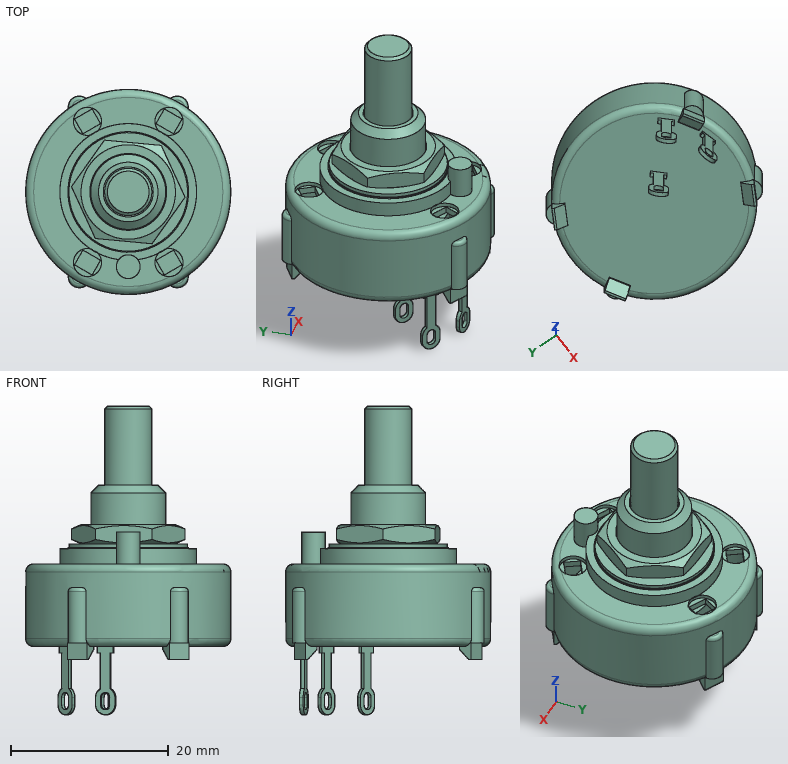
import cadquery as cq
import math

total_height = 39.1
terminal_length = 8.65
shaft_top = total_height - terminal_length

housing_d = 26.0
housing_h = 10.5
housing_round = 1.0

cavity_outer_d = 23.45
cavity_floor = 1.95
cavity_ceiling = 9.15
core_d = 15.65
core_top = 6.65
hub_d = 10.33

collar_d = 17.33
collar_top = 12.4
washer_d = 15.0
washer_seat_d = 15.3
washer_seat_h = 0.15
washer_top = 13.02
nut_across_flats = 12.5
nut_top = 15.45
nut_bevel_d = 11.95
nut_bevel_drop = 0.55
nut_bore_d = 9.75
nut_turn = -5.3

bushing_d = 9.5
bushing_top = 20.45
bushing_chamfer = 0.98
bushing_bore_d = 6.35
bushing_bore_depth = 1.0
shaft_d = 6.0
shaft_chamfer = 0.35

pin_d = 3.0
pin_y = -9.45
pin_top = 14.5

station_angles = (60, 120, 240, 300)
pocket_circle_r = 10.33
pocket_d = 3.55
pocket_depth = 0.5
window_radial = 2.15
window_width = 2.6
rib_circle_r = 12.4
rib_r = 1.4
rib_bottom = 0.45
rib_top = 7.47
rib_round = 0.5
hook_outer_r = 12.9
hook_width = 2.9
hook_bottom = -1.65
hook_tip_thickness = 0.3
hook_root_thickness = 1.7
hook_slope_top = -0.35

terminal_thickness = 0.5
stem_width = 1.3
shoulder_width = 2.1
shoulder_bottom = -0.82
eye_width = 2.55
eye_height = 3.5
eye_slot_width = 1.2
terminal_embed = 0.8
outer_terminal_r = 11.05
common_terminal_r = 3.95
outer_terminal_angles = (225, 255)
common_terminal_angle = 225


def disc(diameter, bottom, top):
    """Cylinder on the Z axis between two heights."""
    return cq.Workplane("XY").workplane(offset=bottom).circle(diameter / 2).extrude(top - bottom)


def at_polar(shape, radius, angle):
    """Move a shape out along +X, then swing it round the Z axis."""
    return shape.translate((radius, 0, 0)).rotate((0, 0, 0), (0, 0, 1), angle)


def make_housing():
    """Housing with collar, washer seat and locating pin."""
    housing = disc(housing_d, 0, housing_h).edges().fillet(housing_round)
    collar = disc(collar_d, housing_h - housing_round, collar_top)
    seat = disc(washer_seat_d, collar_top, collar_top + washer_seat_h)
    pin = disc(pin_d, housing_h - housing_round, pin_top).translate((0, pin_y, 0))
    return housing.union(collar).union(seat).union(pin)


def make_cavity():
    """Ring-shaped hollow around the hub, deepest outside the core."""
    cavity = disc(cavity_outer_d, cavity_floor, cavity_ceiling)
    core = disc(core_d, cavity_floor, core_top)
    hub = disc(hub_d, cavity_floor, cavity_ceiling)
    return cavity.cut(core).cut(hub)


def make_nut():
    """Hexagon nut, bevelled at both ends, with a clearance bore."""
    height = nut_top - washer_top
    corner_r = nut_across_flats / math.sqrt(3)
    hexagon = (
        cq.Workplane("XY").workplane(offset=washer_top)
        .polygon(6, 2 * corner_r).extrude(height)
    )
    bevel = (
        cq.Workplane("XZ")
        .moveTo(0, washer_top)
        .lineTo(nut_bevel_d / 2, washer_top)
        .lineTo(corner_r, washer_top + nut_bevel_drop)
        .lineTo(corner_r, nut_top - nut_bevel_drop)
        .lineTo(nut_bevel_d / 2, nut_top)
        .lineTo(0, nut_top)
        .close()
        .revolve(360, (0, 0, 0), (0, 1, 0))
    )
    bore = disc(nut_bore_d, washer_top, nut_top)
    return hexagon.intersect(bevel).cut(bore).rotate((0, 0, 0), (0, 0, 1), nut_turn)


def make_bushing_and_shaft():
    bushing = disc(bushing_d, housing_h, bushing_top).faces(">Z").chamfer(bushing_chamfer)
    bore = disc(bushing_bore_d, bushing_top - bushing_bore_depth, bushing_top)
    shaft = disc(shaft_d, housing_h, shaft_top).faces(">Z").chamfer(shaft_chamfer)
    return bushing.cut(bore).union(shaft)


def make_pocket():
    """Round recess with a rectangular window through to the cavity."""
    window = (
        cq.Workplane("XY").workplane(offset=cavity_ceiling)
        .rect(window_radial, window_width).extrude(housing_h - cavity_ceiling)
    )
    return disc(pocket_d, housing_h - pocket_depth, housing_h).union(window)


def make_rib():
    return disc(2 * rib_r, rib_bottom, rib_top).faces(">Z").edges().fillet(rib_round)


def make_hook():
    """Flat-faced snap hook, sloped on its inner side."""
    return (
        cq.Workplane("XZ")
        .moveTo(0, rib_bottom)
        .lineTo(0, hook_bottom)
        .lineTo(-hook_tip_thickness, hook_bottom)
        .lineTo(-hook_root_thickness, hook_slope_top)
        .lineTo(-hook_root_thickness, rib_bottom)
        .close()
        .extrude(hook_width / 2, both=True)
    )


def make_terminal():
    """Flat terminal facing +X: shoulder, stem and slotted solder eye."""
    eye_z = eye_height / 2 - terminal_length
    eye_slot_length = eye_height - (eye_width - eye_slot_width)
    plane = cq.Workplane("YZ")

    def strip(width, bottom):
        height = terminal_embed - bottom
        return (
            plane.center(0, bottom + height / 2)
            .rect(width, height).extrude(terminal_thickness / 2, both=True)
        )

    def stadium(length, width):
        return (
            plane.center(0, eye_z)
            .slot2D(length, width, 90).extrude(terminal_thickness / 2, both=True)
        )

    blade = strip(shoulder_width, shoulder_bottom).union(strip(stem_width, eye_z))
    return blade.union(stadium(eye_height, eye_width)).cut(stadium(eye_slot_length, eye_slot_width))


result = (
    make_housing()
    .union(disc(washer_d, housing_h, washer_top))
    .union(make_nut())
    .union(make_bushing_and_shaft())
)

for angle in station_angles:
    result = result.union(at_polar(make_rib(), rib_circle_r, angle))
    result = result.union(at_polar(make_hook(), hook_outer_r, angle))

result = result.cut(make_cavity())
for angle in station_angles:
    result = result.cut(at_polar(make_pocket(), pocket_circle_r, angle))

for angle in outer_terminal_angles:
    result = result.union(at_polar(make_terminal(), outer_terminal_r, angle))
result = result.union(at_polar(make_terminal(), common_terminal_r, common_terminal_angle))